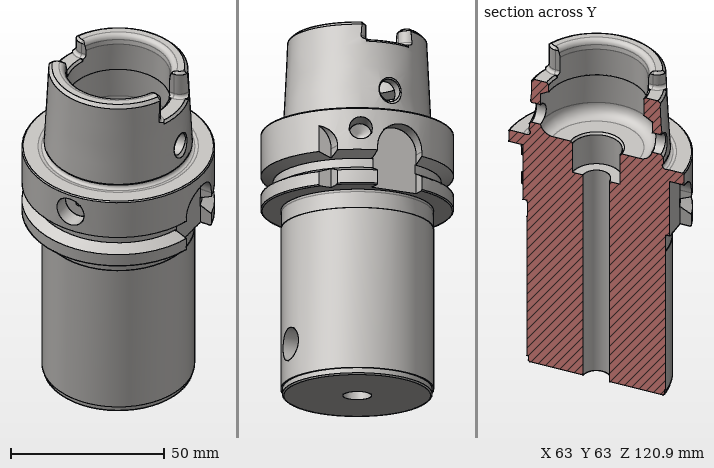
import cadquery as cq
import math


flange_d = 63.0
flange_r = flange_d / 2
shank_top = 32.0
body_bottom = -88.9

gauge_r = 24.0
gauge_z = 6.3
taper_slope = 0.05
taper_start = 1.8
shank_chamfer = 1.1
undercut_r = 23.75
relief_fillet = 1.3
relief_outer_r = 26.2
relief_depth = 0.15

flange_bottom = -26.0
flange_chamfer = 0.4
groove_z = -17.75
groove_r = 27.5
groove_floor_half = 1.5
groove_half = 3.43

body_r = 25.0
neck_r = 24.85
neck_bottom = -32.2
neck_flare_height = 0.8
tip_r = 24.5
tip_height = 2.2
tip_chamfer = 0.5

bore_r = 17.0
mouth_r = 19.35
lead_in_r = 17.3
lead_in_top = 30.4
lead_in_bottom = 28.8
mouth_width = mouth_r - lead_in_r
mouth_drop = shank_top - lead_in_top
mouth_arc_r = (mouth_width ** 2 + mouth_drop ** 2) / (2 * mouth_drop)
clamp_r = 20.0
clamp_shoulder_z = 18.7
clamp_shoulder_angle = 30.0
clamp_top_z = clamp_shoulder_z - (clamp_r - bore_r) * math.tan(math.radians(clamp_shoulder_angle))
cavity_floor = 1.6
cavity_fillet = 4.4

seat_r = 8.5
seat_chamfer = 0.7
seat_depth = 12.0
through_r = 4.7

notch_half = 6.25
notch_round_x = 17.5
notch_round_r = 3.5
notch_depths = {-1: 6.1, 1: 9.8}
notch_fillet = 1.2
notch_lead = 0.9
notch_bevel = 0.8

access_d = 7.5
access_z = 9.0
access_countersink = 0.7
radial_z = -7.0
side_hole_d = 7.5
side_hole_angle = 25.0
side_hole_depth = 8.0
drill_point_angle = 118.0
clamp_screw_d = 11.0
clamp_screw_z = -74.7

slot_r = 8.1
slot_top_z = -4.7
slot_floor_x = 26.4
index_slot_y = 27.9
index_slot_floor_x = 20.0

chip_d = 10.2
chip_pocket_depth = 8.0
chip_thickness = 2.5
chip_chamfer = 0.3
chip_dimple_d = 1.9

overshoot = 5.0

seam_angle = 45.0


def taper_r(z):
    return gauge_r - (z - gauge_z) * taper_slope


def cylinder_along(origin, direction, diameter, length):
    """Cylinder that starts at origin and runs along direction."""
    solid = cq.Solid.makeCylinder(diameter / 2, length, cq.Vector(*origin), cq.Vector(*direction))
    return cq.Workplane(obj=solid)


def outer_form():
    """Revolved outside of the shank, flange and body."""
    chamfer_z = shank_top - shank_chamfer
    neck_top = flange_bottom - neck_flare_height
    relief_r = undercut_r + relief_fillet
    arc_offset = relief_fillet * (1 - math.sqrt(0.5))
    return (
        cq.Workplane("XZ")
        .moveTo(0, body_bottom)
        .lineTo(tip_r - tip_chamfer, body_bottom)
        .lineTo(tip_r, body_bottom + tip_chamfer)
        .lineTo(tip_r, body_bottom + tip_height)
        .lineTo(body_r, body_bottom + tip_height)
        .lineTo(body_r, neck_bottom)
        .lineTo(neck_r, neck_bottom)
        .lineTo(neck_r, neck_top)
        .lineTo(body_r, flange_bottom)
        .lineTo(flange_r - flange_chamfer, flange_bottom)
        .lineTo(flange_r, flange_bottom + flange_chamfer)
        .lineTo(flange_r, groove_z - groove_half)
        .lineTo(groove_r, groove_z - groove_floor_half)
        .lineTo(groove_r, groove_z + groove_floor_half)
        .lineTo(flange_r, groove_z + groove_half)
        .lineTo(flange_r, -flange_chamfer)
        .lineTo(flange_r - flange_chamfer, 0)
        .lineTo(relief_outer_r, 0)
        .lineTo(relief_r, -relief_depth)
        .threePointArc(
            (undercut_r + arc_offset, -relief_depth + arc_offset),
            (undercut_r, relief_fillet - relief_depth),
        )
        .lineTo(taper_r(taper_start), taper_start)
        .lineTo(taper_r(chamfer_z), chamfer_z)
        .lineTo(taper_r(chamfer_z) - shank_chamfer, shank_top)
        .lineTo(0, shank_top)
        .close()
        .revolve(360, (0, 0, 0), (0, 1, 0))
        .rotate((0, 0, 0), (0, 0, 1), seam_angle)
    )


def cavity():
    """Revolved hollow: rounded mouth, lead-in, bore, clamping undercut, coolant tube seat, through bore."""
    mouth_mid = math.asin(mouth_width / mouth_arc_r) / 2
    fillet_mid = cavity_fillet * (1 - math.sqrt(0.5))
    seat_z = cavity_floor - seat_depth
    return (
        cq.Workplane("XZ")
        .moveTo(0, body_bottom)
        .lineTo(through_r, body_bottom)
        .lineTo(through_r, seat_z)
        .lineTo(seat_r, seat_z)
        .lineTo(seat_r, cavity_floor - seat_chamfer)
        .lineTo(seat_r + seat_chamfer, cavity_floor)
        .lineTo(clamp_r - cavity_fillet, cavity_floor)
        .threePointArc(
            (clamp_r - fillet_mid, cavity_floor + fillet_mid),
            (clamp_r, cavity_floor + cavity_fillet),
        )
        .lineTo(clamp_r, clamp_top_z)
        .lineTo(bore_r, clamp_shoulder_z)
        .lineTo(bore_r, lead_in_bottom)
        .lineTo(lead_in_r, lead_in_top)
        .threePointArc(
            (
                mouth_r - mouth_arc_r * math.sin(mouth_mid),
                shank_top - mouth_arc_r * (1 - math.cos(mouth_mid)),
            ),
            (mouth_r, shank_top),
        )
        .lineTo(0, shank_top)
        .close()
        .revolve(360, (0, 0, 0), (0, 1, 0))
        .rotate((0, 0, 0), (0, 0, 1), seam_angle)
    )


def notch_plan(z):
    """Plan of a drive notch on the +X side, flaring outward along rounded jaws."""
    round_end_x = notch_round_x + notch_round_r
    round_end_y = notch_half + notch_round_r
    mid_x = notch_round_x + notch_round_r * math.sqrt(0.5)
    mid_y = round_end_y - notch_round_r * math.sqrt(0.5)
    outside_x = gauge_r + overshoot
    inside_x = bore_r - overshoot
    return (
        cq.Workplane("XY", origin=(0, 0, z))
        .moveTo(inside_x, -notch_half)
        .lineTo(notch_round_x, -notch_half)
        .threePointArc((mid_x, -mid_y), (round_end_x, -round_end_y))
        .lineTo(round_end_x, -round_end_y - overshoot)
        .lineTo(outside_x, -round_end_y - overshoot)
        .lineTo(outside_x, round_end_y + overshoot)
        .lineTo(round_end_x, round_end_y + overshoot)
        .lineTo(round_end_x, round_end_y)
        .threePointArc((mid_x, mid_y), (notch_round_x, notch_half))
        .lineTo(inside_x, notch_half)
        .close()
    )


def notch_floor_bevels(floor_z):
    """Bevels on the inner and outer edges of a notch floor."""
    low_z = floor_z - notch_bevel
    outer = [
        (taper_r(low_z), low_z),
        (taper_r(floor_z) - notch_bevel, floor_z),
        (gauge_r + overshoot, floor_z),
        (gauge_r + overshoot, low_z),
    ]
    inner = [
        (bore_r, low_z),
        (bore_r + notch_bevel, floor_z),
        (bore_r - overshoot, floor_z),
        (bore_r - overshoot, low_z),
    ]
    rings = [
        cq.Workplane("XZ").polyline(section).close().revolve(360, (0, 0, 0), (0, 1, 0))
        for section in (outer, inner)
    ]
    reach = notch_plan(low_z).offset2D(-notch_fillet).extrude(notch_bevel)
    return [ring.intersect(reach) for ring in rings]


def drive_notch(side):
    """Drive notch with a filleted floor and a chamfered rim, on the given X side."""
    floor_z = shank_top - notch_depths[side]
    slot = notch_plan(floor_z).extrude(notch_depths[side]).faces("<Z").edges().fillet(notch_fillet)
    lead = notch_plan(shank_top - notch_lead).extrude(notch_lead, taper=-45)
    notch = slot.union(lead)
    for bevel in notch_floor_bevels(floor_z):
        notch = notch.union(bevel)
    if side < 0:
        notch = notch.rotate((0, 0, 0), (0, 0, 1), 180)
    return notch


def access_hole(side):
    """Radial hole through one shank wall, lightly countersunk outside, on the given X side."""
    inward = (-side, 0, 0)
    surface_r = taper_r(access_z)
    hole = cylinder_along((side * (surface_r + overshoot), 0, access_z), inward, access_d, surface_r)
    rim_r = access_d / 2 + access_countersink
    sink = cq.Solid.makeCone(
        rim_r + access_countersink,
        access_d / 2,
        2 * access_countersink,
        cq.Vector(side * (surface_r + access_countersink), 0, access_z),
        cq.Vector(*inward),
    )
    return hole, cq.Workplane(obj=sink)


def flange_slot(side, center_y, floor_x):
    """Round-topped slot that opens at the flange bottom, cut in along X."""
    center_z = slot_top_z - slot_r
    depth = flange_r + overshoot - floor_x
    return (
        cq.Workplane("YZ", origin=(side * floor_x, 0, 0))
        .moveTo(center_y - slot_r, flange_bottom)
        .lineTo(center_y - slot_r, center_z)
        .threePointArc((center_y, slot_top_z), (center_y + slot_r, center_z))
        .lineTo(center_y + slot_r, flange_bottom)
        .close()
        .extrude(side * depth)
    )


def side_hole():
    """Radial blind hole with a drill point in the flange rim, between the -X and +Y sides."""
    angle = math.radians(180 - side_hole_angle)
    outward = cq.Vector(math.cos(angle), math.sin(angle), 0)
    bottom = outward * (flange_r - side_hole_depth) + cq.Vector(0, 0, radial_z)
    hole = cylinder_along(bottom.toTuple(), outward.toTuple(), side_hole_d, side_hole_depth + overshoot)
    point_height = side_hole_d / 2 / math.tan(math.radians(drill_point_angle / 2))
    point = cq.Solid.makeCone(side_hole_d / 2, 0, point_height, bottom, outward * -1)
    return hole.union(cq.Workplane(obj=point))


def make_holder():
    holder = outer_form().cut(cavity())
    for side in (-1, 1):
        holder = holder.cut(drive_notch(side))
        holder = holder.cut(flange_slot(side, 0, slot_floor_x))
        for cutter in access_hole(side):
            holder = holder.cut(cutter)
    holder = holder.cut(flange_slot(-1, index_slot_y, index_slot_floor_x))
    holder = holder.cut(side_hole())
    pocket_floor = (0, chip_pocket_depth - flange_r, radial_z)
    holder = holder.cut(cylinder_along(pocket_floor, (0, -1, 0), chip_d, chip_pocket_depth + overshoot))
    clamp_screw_hole = cylinder_along((0, 0, clamp_screw_z), (0, 1, 0), clamp_screw_d, body_r + overshoot)
    return holder.cut(clamp_screw_hole)


def make_chip():
    """Disc on the floor of the chip pocket, with a conical dimple in its outer face."""
    floor_y = chip_pocket_depth - flange_r
    face_y = floor_y - chip_thickness
    chip = cylinder_along((0, floor_y, radial_z), (0, -1, 0), chip_d, chip_thickness)
    chip = chip.faces("<Y").edges().chamfer(chip_chamfer)
    dimple = cq.Solid.makeCone(
        chip_dimple_d / 2, 0, chip_dimple_d / 2, cq.Vector(0, face_y, radial_z), cq.Vector(0, 1, 0)
    )
    return chip.cut(cq.Workplane(obj=dimple))


holder = make_holder()
chip = make_chip()

result = cq.Compound.makeCompound([holder.val(), chip.val()])